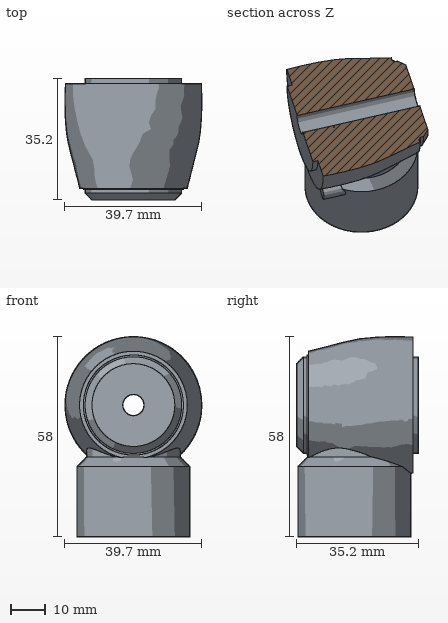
import cadquery as cq

BASE_DIAMETER = 32.75
BASE_STRAIGHT_HEIGHT = 20.35
BASE_BEVEL = 2.8
NECK_DIAMETER = BASE_DIAMETER - 2 * BASE_BEVEL

HEAD_MAX_RADIUS = 19.84
OVERALL_HEIGHT = 58.0
HEAD_AXIS_Z = OVERALL_HEIGHT - HEAD_MAX_RADIUS
HEAD_BACK_Y = 17.0
HEAD_BACK_RADIUS = 19.72
HEAD_WIDEST_Y = 11.5
HEAD_SHOULDER_Y = -1.75
HEAD_FRONT_Y = -13.35
HEAD_FRONT_RADIUS = 15.6
HEAD_FRONT_SLOPE = 0.255
HEAD_SHOULDER_RADIUS = HEAD_FRONT_RADIUS + HEAD_FRONT_SLOPE * (HEAD_SHOULDER_Y - HEAD_FRONT_Y)

CAP_DIAMETER = 28.0
BACK_CAP_THICKNESS = 1.5
LIP_DIAMETER = 29.0
LIP_THICKNESS = 0.4
FRONT_CAP_THICKNESS = 3.0
FRONT_CAP_CHAMFER = 2.0
BORE_DIAMETER = 6.05

PIN_DIAMETER = 4.5
PIN_X = -11.7
PIN_Z = 18.8
PIN_BACK_Y = 15.1


def cylinder_along_y(diameter, start_y, end_y, x=0.0, z=HEAD_AXIS_Z):
    """Solid cylinder parallel to Y running from start_y up to end_y."""
    section = cq.Workplane("XZ", origin=(x, start_y, z)).circle(diameter / 2)
    return section.extrude(start_y - end_y)


def make_base():
    """Cylinder, bevel and narrow neck; the neck top is buried in the head."""
    column = cq.Workplane("XY").circle(BASE_DIAMETER / 2).extrude(BASE_STRAIGHT_HEIGHT + BASE_BEVEL)
    column = column.faces(">Z").chamfer(BASE_BEVEL)
    neck = cq.Workplane("XY").circle(NECK_DIAMETER / 2).extrude(HEAD_AXIS_Z)
    return column.union(neck)


def make_head():
    """Barrel that bulges near the back and tapers almost straight to the front."""
    front_direction = (HEAD_FRONT_SLOPE, 1)
    profile = (
        cq.Workplane("XY")
        .moveTo(0, HEAD_FRONT_Y)
        .lineTo(HEAD_FRONT_RADIUS, HEAD_FRONT_Y)
        .spline(
            [
                (HEAD_SHOULDER_RADIUS, HEAD_SHOULDER_Y),
                (HEAD_MAX_RADIUS, HEAD_WIDEST_Y),
                (HEAD_BACK_RADIUS, HEAD_BACK_Y),
            ],
            tangents=[front_direction, front_direction, (0, 1), None],
            includeCurrent=True,
        )
        .lineTo(0, HEAD_BACK_Y)
        .close()
    )
    return profile.revolve(360, (0, 0), (0, 1)).translate((0, 0, HEAD_AXIS_Z))


def make_back_cap():
    return cylinder_along_y(CAP_DIAMETER, HEAD_BACK_Y, HEAD_BACK_Y + BACK_CAP_THICKNESS)


def make_front_cap():
    """Thin lip followed by a chamfered plate."""
    lip_front_y = HEAD_FRONT_Y - LIP_THICKNESS
    cap_front_y = lip_front_y - FRONT_CAP_THICKNESS
    lip = cylinder_along_y(LIP_DIAMETER, lip_front_y, HEAD_FRONT_Y)
    cap = cylinder_along_y(CAP_DIAMETER, cap_front_y, lip_front_y)
    cap = cap.faces("<Y").chamfer(FRONT_CAP_CHAMFER)
    return lip.union(cap)


def make_pin():
    """The hidden end of the pin stops inside the base."""
    return cylinder_along_y(PIN_DIAMETER, 0, PIN_BACK_Y, PIN_X, PIN_Z)


def make_bore():
    """Through hole along the head axis, longer than the head at both ends."""
    return cylinder_along_y(BORE_DIAMETER, -BASE_DIAMETER, BASE_DIAMETER)


body = make_base().union(make_head())
body = body.union(make_back_cap()).union(make_front_cap()).union(make_pin())
result = body.cut(make_bore())